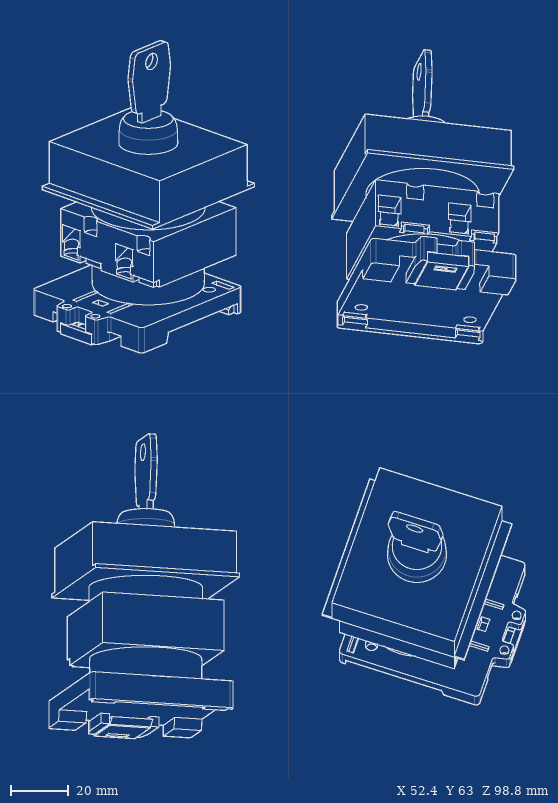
import cadquery as cq
import math

BASE_BOTTOM = 0.3
BASE_TOP = 9.9
BODY_BOTTOM = 20.3
BODY_TOP = 38.2
PLATE_BOTTOM = 45.6
PLATE_TOP = 47.0
COVER_TOP = 62.7
LOCK_RIM = 68.0
LOCK_TOP = 71.8
KEY_TOP = 98.8

COVER_X = 52.4
COVER_Y = 44.9
PLATE_Y = 52.2
UPPER_STAGE_DIA = 39.5
LOWER_STAGE_DIA = 39.0

LOCK_FOOT_RADIUS = 10.3
LOCK_RIM_RADIUS = 10.1
LOCK_SHOULDER_RADIUS = 9.7
LOCK_SHOULDER_Z = 70.1
LOCK_FACE_RADIUS = 8.6
KEY_THICKNESS = 2.3
KEY_Y = 0.5
KEY_STEM_WIDTH = 9.7
KEY_HEAD_BOTTOM = 75.6
KEY_WIDEST_BOTTOM = 88.7
KEY_WIDEST_TOP = 89.7
KEY_TOP_WIDTH = 16.6
KEY_WIDEST = 19.4
KEY_BOTTOM_WIDTH = 15.4
KEY_TOP_FILLET = 2.2
KEY_BOTTOM_FILLET = 2.4
KEY_HOLE_DIA = 5.8
KEY_HOLE_Z = 93.6

BODY_X = 44.2
BODY_Y = 42.1
BODY_FRONT = -BODY_Y / 2
POLE_COUNT = 2
POLE_PITCH = 25.1
SCREW_DIA = 6.2
SEAT_DIA = 7.0
SCREW_TILT = 25.0
UPPER_SCREW_X = -7.9
UPPER_SCREW_FLOOR = 32.4
UPPER_SCREW_AXIS_Z = 35.5
LOWER_SCREW_X = -17.2
LOWER_SCREW_FLOOR = 22.8
LOWER_SCREW_AXIS_Z = 25.0
LOWER_SEAT_FLOOR = 21.1
WIRE_X = -17.0
WIRE_WIDTH = 8.1
WIRE_BOTTOM = 26.0
WIRE_SLOPE_TOP = 29.9
WIRE_TOP = UPPER_SCREW_FLOOR
NOTCH_X = -7.8
NOTCH_WIDTH = 10.0
NOTCH_TOP = LOWER_SCREW_FLOOR
NOTCH_DEPTH = 3.0
TONGUE_WIDTH = 6.9
TONGUE_SETBACK = 1.3

BASE_X = 52.0
BASE_BACK = 20.2
BASE_FRONT = -31.3
BASE_CORNER = 1.5
RAIL_BACK = 17.6
RAIL_FRONT = -17.6
RAIL_FRONT_FOOT = -18.6
RAIL_TOP = 4.1
LATCH_BAY_WIDTH = 32.0
HOOK_INNER_X = 16.1
HOOK_WIDTH = 8.2
HOOK_REACH = 2.7
HOOK_TOP = 3.3
HOOK_CHAMFER = 1.2
HOOK_WINDOW = 2.5
BASE_HOLE_DIA = 4.2
BASE_HOLE_X = 19.5
BASE_HOLE_Y = 10.2
GROOVE_X = 8.1
GROOVE_WIDTH = 1.8
GROOVE_DEPTH = 3.0
GROOVE_FRONT = -28.8
WINDOW_X = 4.7
WINDOW_BACK = -22.8
WINDOW_FRONT = -25.9

TAB_FRONT = -36.8
TAB_BOTTOM = 0.6
TAB_ROOT_X = 10.6
TAB_TIP_X = 9.5
TAB_FILLET = 1.0
PICK_MARGIN = 0.1
TAB_NOTCH_WIDTH = 7.5
TAB_NOTCH_BACK = -32.3
TAB_HOLE_X = 6.7
TAB_HOLE_Y = -34.3
TAB_HOLE_TOP_DIA = 3.1
TAB_HOLE_BOTTOM_DIA = 2.0

LATCH_WIDTH = 14.7
LATCH_FRONT = -36.9
LATCH_TOP = 3.9
LATCH_SHEET = 0.4
LATCH_FRAME_BACK = -31.6
LATCH_BAR_BACK = -34.7
LATCH_NOSE_Y = -15.5
LATCH_NOSE_BACK = -16.4
LATCH_NOSE_Z = 2.5
LATCH_NOSE_TOP = 2.7


def box(x_range, y_range, z_range):
    """Axis-aligned block between the given limits."""
    (x0, x1), (y0, y1), (z0, z1) = x_range, y_range, z_range
    return cq.Workplane("XY").box(x1 - x0, y1 - y0, z1 - z0, centered=False).translate((x0, y0, z0))


def span(centre, width):
    """Limits of a stretch of the given width about its centre."""
    return (centre - width / 2, centre + width / 2)


def extrude_yz(points, x_range):
    """Prism along X from an outline of (y, z) points."""
    x0, x1 = x_range
    return cq.Workplane("YZ").polyline(points).close().extrude(x1 - x0).translate((x0, 0, 0))


def disc(diameter, centre, z_range):
    """Upright cylinder between two heights."""
    bottom, top = z_range
    return cq.Workplane("XY", origin=(*centre, bottom)).circle(diameter / 2).extrude(top - bottom)


def make_lock():
    """Key lock: slightly tapered barrel with a rounded rim, turned about Z."""
    return (
        cq.Workplane("XZ")
        .moveTo(0, COVER_TOP)
        .lineTo(LOCK_FOOT_RADIUS, COVER_TOP)
        .lineTo(LOCK_RIM_RADIUS, LOCK_RIM)
        .threePointArc((LOCK_SHOULDER_RADIUS, LOCK_SHOULDER_Z), (LOCK_FACE_RADIUS, LOCK_TOP))
        .lineTo(0, LOCK_TOP)
        .close()
        .revolve(360, (0, 0), (0, 1))
    )


def make_key():
    """Flat key standing in the lock, with a rounded eight-sided head and a ring hole."""
    half_widths = [
        (KEY_BOTTOM_WIDTH / 2, KEY_HEAD_BOTTOM),
        (KEY_WIDEST / 2, KEY_WIDEST_BOTTOM),
        (KEY_WIDEST / 2, KEY_WIDEST_TOP),
        (KEY_TOP_WIDTH / 2, KEY_TOP),
    ]
    right_side = [(KEY_Y + half, z) for half, z in half_widths]
    left_side = [(KEY_Y - half, z) for half, z in reversed(half_widths)]
    thickness = span(0, KEY_THICKNESS)
    head = extrude_yz(right_side + left_side, thickness)
    head = head.faces(">Z").edges("|X").fillet(KEY_TOP_FILLET)
    head = head.faces("<Z").edges("|X").fillet(KEY_BOTTOM_FILLET)
    stem = box(thickness, span(KEY_Y, KEY_STEM_WIDTH), (LOCK_RIM, KEY_HEAD_BOTTOM))
    ring_hole = (
        cq.Workplane("YZ")
        .center(KEY_Y, KEY_HOLE_Z)
        .circle(KEY_HOLE_DIA / 2)
        .extrude(KEY_THICKNESS, both=True)
    )
    return head.union(stem).cut(ring_hole)


def make_stages():
    """Cover with its front plate and the round stages above and below the body."""
    cover = box(span(0, COVER_X), span(0, COVER_Y), (PLATE_TOP, COVER_TOP))
    plate = box(span(0, COVER_X), span(0, PLATE_Y), (PLATE_BOTTOM, PLATE_TOP))
    upper = disc(UPPER_STAGE_DIA, (0, 0), (BODY_TOP, PLATE_BOTTOM))
    lower = disc(LOWER_STAGE_DIA, (0, 0), (BASE_TOP, BODY_BOTTOM))
    return cover.union(plate).union(upper).union(lower)


def screw_hole(x, axis_z, z_range):
    """Tilted screwdriver hole whose axis meets the body front at axis_z, cut off at flat ends."""
    reach = BODY_TOP - BODY_BOTTOM
    bore = (
        cq.Workplane("XY")
        .circle(SCREW_DIA / 2)
        .extrude(reach, both=True)
        .rotate((0, 0, 0), (1, 0, 0), SCREW_TILT)
        .translate((x, BODY_FRONT, axis_z))
    )
    return bore.intersect(box(span(x, 2 * SCREW_DIA), span(BODY_FRONT, reach), z_range))


def wire_pocket(x):
    """Wire entry whose floor rises inward, square to the screw axis."""
    back = BODY_FRONT + (WIRE_SLOPE_TOP - WIRE_BOTTOM) / math.tan(math.radians(SCREW_TILT))
    outline = [
        (BODY_FRONT, WIRE_BOTTOM),
        (back, WIRE_SLOPE_TOP),
        (back, WIRE_TOP),
        (BODY_FRONT, WIRE_TOP),
    ]
    return extrude_yz(outline, span(x, WIRE_WIDTH))


def screw_seat(x):
    """Upright round seat under the lower screw hole."""
    inset = (LOWER_SCREW_AXIS_Z - LOWER_SCREW_FLOOR) * math.tan(math.radians(SCREW_TILT))
    return disc(SEAT_DIA, (x, BODY_FRONT + inset), (LOWER_SEAT_FLOOR, LOWER_SCREW_FLOOR))


def foot_notch(x):
    """Notch in the lower front edge, with a set-back tongue left standing in it."""
    heights = (BODY_BOTTOM, NOTCH_TOP)
    back = BODY_FRONT + NOTCH_DEPTH
    notch = box(span(x, NOTCH_WIDTH), (BODY_FRONT, back), heights)
    tongue = box(span(x, TONGUE_WIDTH), (BODY_FRONT + TONGUE_SETBACK, back), heights)
    return notch.cut(tongue)


def make_body():
    """Contact body with two identical poles of terminals in its front face."""
    body = box(span(0, BODY_X), span(0, BODY_Y), (BODY_BOTTOM, BODY_TOP))
    upper_range = (UPPER_SCREW_FLOOR, BODY_TOP)
    lower_range = (LOWER_SCREW_FLOOR, WIRE_SLOPE_TOP)
    for pole in range(POLE_COUNT):
        shift = pole * POLE_PITCH
        body = body.cut(screw_hole(UPPER_SCREW_X + shift, UPPER_SCREW_AXIS_Z, upper_range))
        body = body.cut(wire_pocket(WIRE_X + shift))
        body = body.cut(screw_hole(LOWER_SCREW_X + shift, LOWER_SCREW_AXIS_Z, lower_range))
        body = body.cut(screw_seat(LOWER_SCREW_X + shift))
        body = body.cut(foot_notch(NOTCH_X + shift))
    return body


def make_rail_block():
    """Base block with the rail channel, the latch bay and the two rear rail hooks."""
    block = box(span(0, BASE_X), (BASE_FRONT, BASE_BACK), (BASE_BOTTOM, BASE_TOP))
    block = block.edges("|Z").fillet(BASE_CORNER)
    channel = [
        (RAIL_BACK, BASE_BOTTOM),
        (RAIL_BACK, RAIL_TOP),
        (RAIL_FRONT, RAIL_TOP),
        (RAIL_FRONT_FOOT, BASE_BOTTOM),
    ]
    block = block.cut(extrude_yz(channel, span(0, BASE_X)))
    block = block.cut(box(span(0, LATCH_BAY_WIDTH), (BASE_FRONT, RAIL_FRONT), (BASE_BOTTOM, RAIL_TOP)))
    nose_y = RAIL_BACK - HOOK_REACH
    hook = [
        (RAIL_BACK, BASE_BOTTOM),
        (nose_y, BASE_BOTTOM),
        (nose_y, HOOK_TOP - HOOK_CHAMFER),
        (nose_y + HOOK_CHAMFER, HOOK_TOP),
        (RAIL_BACK, HOOK_TOP),
    ]
    for side in (-1, 1):
        hook_x = span(side * (HOOK_INNER_X + HOOK_WIDTH / 2), HOOK_WIDTH)
        block = block.union(extrude_yz(hook, hook_x))
        block = block.cut(box(hook_x, (RAIL_BACK - HOOK_WINDOW, RAIL_BACK), (RAIL_TOP, BASE_TOP)))
    return block


def make_tab():
    """Tapered front tab, hollowed below for the latch between two legs reaching back to the rail."""
    tab = (
        cq.Workplane("XY", origin=(0, 0, TAB_BOTTOM))
        .polyline([
            (-TAB_ROOT_X, BASE_FRONT),
            (-TAB_TIP_X, TAB_FRONT),
            (TAB_TIP_X, TAB_FRONT),
            (TAB_ROOT_X, BASE_FRONT),
        ])
        .close()
        .extrude(BASE_TOP - TAB_BOTTOM)
    )
    tab = tab.faces("<Y").edges("|Z").fillet(TAB_FILLET)
    legs = box(span(0, 2 * TAB_ROOT_X), (BASE_FRONT, RAIL_FRONT_FOOT), (TAB_BOTTOM, RAIL_TOP))
    return tab.union(legs).cut(box(span(0, LATCH_WIDTH), (TAB_FRONT, RAIL_FRONT_FOOT), (TAB_BOTTOM, RAIL_TOP)))


def cut_tab(base):
    """Rounds the tab root and cuts the front notch and the two tapered screw holes."""
    upper = (RAIL_TOP, BASE_TOP)
    base = base.cut(box(span(0, TAB_NOTCH_WIDTH), (TAB_FRONT, TAB_NOTCH_BACK), upper))
    for side in (-1, 1):
        corners = (
            (side * TAB_ROOT_X, BASE_FRONT),
            (side * TAB_NOTCH_WIDTH / 2, TAB_NOTCH_BACK),
            (side * TAB_NOTCH_WIDTH / 2, TAB_FRONT),
        )
        for x, y in corners:
            nearby = cq.selectors.BoxSelector(
                (x - PICK_MARGIN, y - PICK_MARGIN, RAIL_TOP),
                (x + PICK_MARGIN, y + PICK_MARGIN, BASE_TOP),
            )
            base = base.edges("|Z").edges(nearby).fillet(TAB_FILLET)
        hole = (
            cq.Workplane("XY", origin=(side * TAB_HOLE_X, TAB_HOLE_Y, RAIL_TOP))
            .circle(TAB_HOLE_BOTTOM_DIA / 2)
            .workplane(offset=BASE_TOP - RAIL_TOP)
            .circle(TAB_HOLE_TOP_DIA / 2)
            .loft()
        )
        base = base.cut(hole)
    return base


def make_base():
    """Complete rail base with the openings through its top web."""
    base = cut_tab(make_rail_block().union(make_tab()))
    web = (RAIL_TOP, BASE_TOP)
    groove_heights = (BASE_TOP - GROOVE_DEPTH, BASE_TOP)
    for side in (-1, 1):
        base = base.cut(box(span(side * GROOVE_X, GROOVE_WIDTH), (GROOVE_FRONT, RAIL_FRONT), groove_heights))
        base = base.cut(disc(BASE_HOLE_DIA, (side * BASE_HOLE_X, BASE_HOLE_Y), web))
    return base.cut(box(span(0, WINDOW_X), (WINDOW_FRONT, WINDOW_BACK), web))


def make_latch():
    """Sliding rail latch: thin sheet with a hooked nose and a pull frame at the front."""
    width = span(0, LATCH_WIDTH)
    frame = box(width, (LATCH_FRONT, LATCH_FRAME_BACK), (0, LATCH_TOP))
    opening = box(span(0, TAB_NOTCH_WIDTH), (LATCH_BAR_BACK, LATCH_FRAME_BACK), (0, LATCH_TOP))
    sheet = box(width, (LATCH_FRAME_BACK, RAIL_FRONT_FOOT), (0, LATCH_SHEET))
    nose = [
        (RAIL_FRONT_FOOT, 0),
        (LATCH_NOSE_Y, LATCH_NOSE_Z),
        (LATCH_NOSE_BACK, LATCH_NOSE_TOP),
        (RAIL_FRONT_FOOT, LATCH_NOSE_TOP),
    ]
    return frame.cut(opening).union(sheet).union(extrude_yz(nose, width))


result = make_base().union(make_latch()).union(make_stages()).union(make_body())
result = result.union(make_lock()).union(make_key())